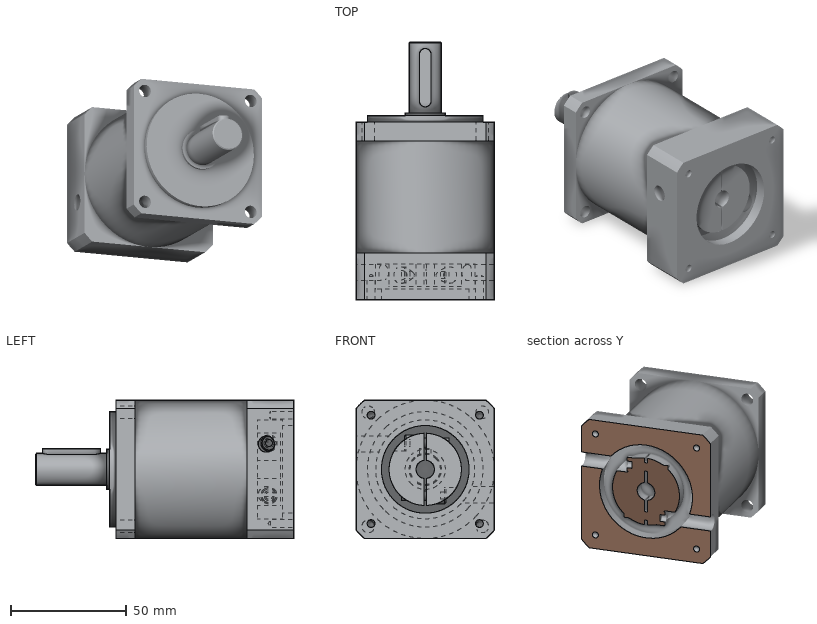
import cadquery as cq
import math


square_width = 60.0
corner_dia = 80.0
motor_flange_end = 20.4
barrel_end = 69.0
output_flange_end = 77.2
pilot_end = 80.0
pilot_dia = 50.2
collar_end = 81.2
collar_dia = 17.5

shaft_end = 112.0
shaft_dia = 14.0
shaft_chamfer = 0.5
key_start = 83.8
key_length = 25.3
key_width = 5.0
key_top = 9.0

output_hole_offset = 24.8
output_hole_dia = 5.5
motor_hole_offset = 23.5
motor_hole_dia = 3.4
motor_hole_depth = 10.1
drill_tip_angle = 118.0

mouth_dia = 38.1
mouth_depth = 4.8
cavity_dia = 43.0
cavity_depth = 15.7
access_hole_dia = 7.0
access_hole_y = 11.9
access_hole_z = 11.0

hub_dia = 31.4
hub_start = 5.8
hub_bore_dia = 8.0
slit_width = 1.0

screw_angles = (0, 180)
screw_y = 10.8
screw_z = 11.4
shank_dia = 4.3
shank_end = 10.3
head_dia = 7.0
head_end = 9.0
head_length = 4.5
head_chamfer = 0.6
socket_dia = 3.0
socket_depth = 2.2


def cylinder_y(diameter, start, end, x=0.0, z=0.0):
    """Solid cylinder parallel to Y between two Y positions."""
    axis_start = cq.Vector(x, start, z)
    return cq.Workplane(cq.Solid.makeCylinder(diameter / 2, end - start, axis_start, cq.Vector(0, 1, 0)))


def cylinder_x(diameter, start, end, y, z):
    """Solid cylinder parallel to X between two X positions."""
    axis_start = cq.Vector(start, y, z)
    return cq.Workplane(cq.Solid.makeCylinder(diameter / 2, end - start, axis_start, cq.Vector(1, 0, 0)))


def square_flange(start, end):
    """Square plate with its corners rounded by a circle about the axis."""
    length = end - start
    plate = cq.Workplane().box(square_width, length, square_width).translate((0, start + length / 2, 0))
    return plate.intersect(cylinder_y(corner_dia, start, end))


def corner_places(offset):
    """The four (x, z) places of a square hole pattern."""
    return [(x, z) for x in (-offset, offset) for z in (-offset, offset)]


def turned(body, angle):
    """Copy of a body turned about the Y axis."""
    return body.rotate((0, 0, 0), (0, 1, 0), angle)


def make_output_shaft():
    """Keyed shaft end with a chamfered tip, starting inside the pilot."""
    shaft = cylinder_y(shaft_dia, output_flange_end, shaft_end).faces(">Y").chamfer(shaft_chamfer)
    key = (
        cq.Workplane()
        .center(0, key_start + key_length / 2)
        .slot2D(key_length, key_width, 90)
        .extrude(key_top)
    )
    return shaft.union(key)


def motor_hole(x, z):
    """Blind tapping hole with a conical drill tip."""
    radius = motor_hole_dia / 2
    tip_length = radius / math.tan(math.radians(drill_tip_angle / 2))
    tip = cq.Solid.makeCone(radius, 0, tip_length, cq.Vector(x, motor_hole_depth, z), cq.Vector(0, 1, 0))
    return cylinder_y(motor_hole_dia, 0, motor_hole_depth, x, z).union(cq.Workplane(tip))


def make_housing():
    """Housing with its two flanges, pilot, collar and output shaft."""
    housing = (
        square_flange(0, motor_flange_end)
        .union(cylinder_y(square_width, motor_flange_end, barrel_end))
        .union(square_flange(barrel_end, output_flange_end))
        .union(cylinder_y(pilot_dia, output_flange_end, pilot_end))
        .union(cylinder_y(collar_dia, pilot_end, collar_end))
        .union(make_output_shaft())
    )

    housing = housing.cut(cylinder_y(mouth_dia, 0, mouth_depth))
    housing = housing.cut(cylinder_y(cavity_dia, mouth_depth, cavity_depth))

    access_hole = cylinder_x(access_hole_dia, -square_width / 2, 0, access_hole_y, access_hole_z)
    access_hole = access_hole.cut(cylinder_y(mouth_dia, 0, motor_flange_end))
    for angle in screw_angles:
        housing = housing.cut(turned(access_hole, angle))

    for x, z in corner_places(motor_hole_offset):
        housing = housing.cut(motor_hole(x, z))
    for x, z in corner_places(output_hole_offset):
        housing = housing.cut(cylinder_y(output_hole_dia, barrel_end, output_flange_end, x, z))
    return housing


def make_screw():
    """Upper clamping screw, with its socket head on the -X side."""
    shank = cylinder_x(shank_dia, -head_end + head_length, shank_end, screw_y, screw_z)
    head = cylinder_x(head_dia, -head_end, -head_end + head_length, screw_y, screw_z)
    head = head.faces("<X").chamfer(head_chamfer)
    return shank.union(head)


def make_hub():
    """Slit clamping hub; the two clamping screws hold its halves together as one solid."""
    hub = cylinder_y(hub_dia, hub_start, cavity_depth)
    hub = hub.cut(cylinder_y(hub_bore_dia, hub_start, cavity_depth))
    hub = hub.cut(cq.Workplane().box(slit_width, 2 * cavity_depth, hub_dia))

    screw = make_screw()
    head_recess = cylinder_x(head_dia, -hub_dia / 2, -head_end + head_length, screw_y, screw_z)
    socket = cylinder_x(socket_dia, -head_end, -head_end + socket_depth, screw_y, screw_z)
    for angle in screw_angles:
        hub = hub.cut(turned(head_recess, angle))
        hub = hub.union(turned(screw, angle))
        hub = hub.cut(turned(socket, angle))
    return hub


housing = make_housing()
hub = make_hub()

result = cq.Compound.makeCompound([housing.solids().val(), hub.solids().val()])